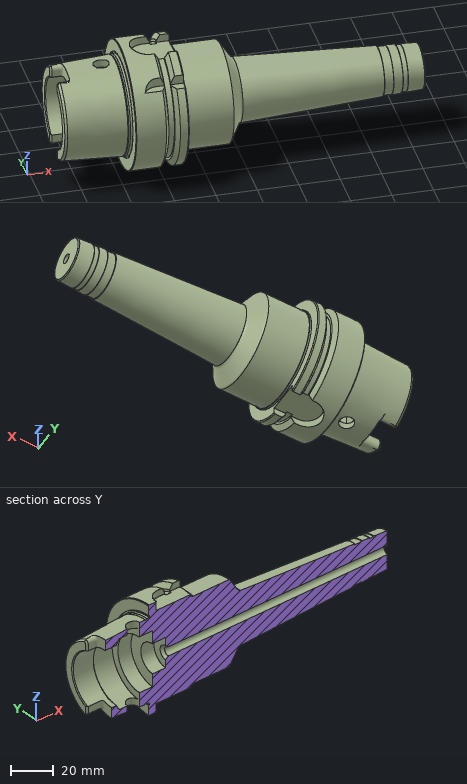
import cadquery as cq
import math


total_length = 177.0
flange_radius = 31.5

flange_start = 32.0
shank_slope = 0.05
shank_mouth_radius = 22.75
mouth_chamfer_length = 1.2
mouth_chamfer_depth = 0.7
relief_start = 30.0
relief_width = 1.2
relief_depth = 0.5
face_recess_radius = 25.3
face_recess_depth = 0.5

flange_end = 57.9
flange_front_chamfer = 0.4
flange_back_chamfer = 0.5
groove_center = 50.1
groove_floor_width = 3.0
groove_mouth_width = 6.7
groove_floor_radius = 27.5
groove_bevel_radius = 28.7

collar_radius = 25.5
collar_end = 58.8
body_radius = 25.0
body_end = 81.6
body_chamfer = 0.5
shoulder_end = 86.4
shoulder_end_radius = 17.0
nose_start = 87.6
nose_angle = 3.0
tip_radius = 11.2
tip_chamfer = 0.5

ring_depth = 0.4
ring_spans = [(157.0, 161.5), (166.0, 168.5)]

mouth_bore_radius = 17.0
mouth_bore_chamfer = 0.5
clamp_start = 12.7
clamp_bevel = 1.8
clamp_end = 26.5
clamp_radius = 20.0
inner_bore_radius = 15.8
inner_bore_end = 34.5
seat_radius = 8.5
seat_end = 42.5
coolant_radius = 2.5
coolant_mouth_radius = 3.98

cross_hole_x = 23.0
cross_hole_diameter = 7.5

drive_half_width = 6.28
drive_rounding = 2.1
drive_floor_fillet = 1.2
drive_lead_in = 0.9
upper_drive_depth = 6.0
lower_drive_depth = 9.7
drive_outer_radius = 23.0

keyway_width = 16.1
keyway_center_x = 45.0
keyway_floor = 26.5
notch_floor = 19.8
notch_wall = 20.0
notch_radius = 7.0
notch_center_x = 44.8


def nose_radius(x):
    return tip_radius + (total_length - x) * math.tan(math.radians(nose_angle))


def shank_radius(x):
    return shank_mouth_radius + shank_slope * x


def revolve_x(outline):
    return outline.close().revolve(360, (0, 0, 0), (1, 0, 0))


def turned_body():
    floor_half = groove_floor_width / 2
    mouth_half = groove_mouth_width / 2
    relief_middle = relief_start + relief_width / 2
    relief_end = relief_start + relief_width
    recess_x = flange_start + face_recess_depth
    outline = (
        cq.Workplane("XY")
        .moveTo(0, 0)
        .lineTo(0, shank_mouth_radius - mouth_chamfer_depth)
        .lineTo(mouth_chamfer_length, shank_radius(mouth_chamfer_length))
        .lineTo(relief_start, shank_radius(relief_start))
        .lineTo(relief_middle, shank_radius(relief_middle) - relief_depth)
        .lineTo(relief_end, shank_radius(relief_end))
        .lineTo(recess_x, shank_radius(recess_x))
        .lineTo(recess_x, face_recess_radius)
        .lineTo(flange_start, face_recess_radius)
        .lineTo(flange_start, flange_radius - flange_front_chamfer)
        .lineTo(flange_start + flange_front_chamfer, flange_radius)
        .lineTo(groove_center - mouth_half, flange_radius)
        .lineTo(groove_center - floor_half, groove_bevel_radius)
        .lineTo(groove_center - floor_half, groove_floor_radius)
        .lineTo(groove_center + floor_half, groove_floor_radius)
        .lineTo(groove_center + floor_half, groove_bevel_radius)
        .lineTo(groove_center + mouth_half, flange_radius)
        .lineTo(flange_end - flange_back_chamfer, flange_radius)
        .lineTo(flange_end, flange_radius - flange_back_chamfer)
        .lineTo(flange_end, collar_radius)
        .lineTo(collar_end, collar_radius)
        .lineTo(collar_end, body_radius)
        .lineTo(body_end - body_chamfer, body_radius)
        .lineTo(body_end, body_radius - body_chamfer)
        .lineTo(shoulder_end, shoulder_end_radius)
        .tangentArcPoint((nose_start, nose_radius(nose_start)), relative=False)
        .lineTo(total_length - tip_chamfer, nose_radius(total_length - tip_chamfer))
        .lineTo(total_length, tip_radius - tip_chamfer)
        .lineTo(total_length, 0)
    )
    return revolve_x(outline)


def ring_groove(start, end):
    floor_radius = nose_radius(end) - ring_depth
    outline = (
        cq.Workplane("XY")
        .moveTo(start, floor_radius)
        .lineTo(start, flange_radius)
        .lineTo(end, flange_radius)
        .lineTo(end, floor_radius)
    )
    return revolve_x(outline)


def bore():
    bevel_end = seat_end + coolant_mouth_radius - coolant_radius
    outline = (
        cq.Workplane("XY")
        .moveTo(0, 0)
        .lineTo(0, mouth_bore_radius + mouth_bore_chamfer)
        .lineTo(mouth_bore_chamfer, mouth_bore_radius)
        .lineTo(clamp_start, mouth_bore_radius)
        .lineTo(clamp_start + clamp_bevel, clamp_radius)
        .lineTo(clamp_end, clamp_radius)
        .lineTo(clamp_end, inner_bore_radius)
        .lineTo(inner_bore_end, inner_bore_radius)
        .lineTo(inner_bore_end, seat_radius)
        .lineTo(seat_end, seat_radius)
        .lineTo(seat_end, coolant_mouth_radius)
        .lineTo(bevel_end, coolant_radius)
        .lineTo(total_length, coolant_radius)
        .lineTo(total_length, 0)
    )
    return revolve_x(outline)


def cross_hole():
    hole = cq.Workplane("XY").center(cross_hole_x, 0).circle(cross_hole_diameter / 2)
    return hole.extrude(flange_radius, both=True)


def drive_outline(widening):
    """Slot section grown sideways by `widening`; ungrown, its rounding ends tangent to the shank."""
    radius = drive_rounding - widening
    center_y = drive_half_width + drive_rounding
    center_z = math.sqrt((drive_outer_radius - drive_rounding) ** 2 - center_y ** 2)
    lean = math.asin(center_y / (drive_outer_radius - drive_rounding))
    wall = drive_half_width + widening

    def on_rounding(angle):
        return center_y + radius * math.sin(angle), center_z + radius * math.cos(angle)

    tangent_y, tangent_z = on_rounding(lean)
    middle_y, middle_z = on_rounding((lean - math.pi / 2) / 2)
    run = 3.5
    out_y = tangent_y + run * math.cos(lean)
    out_z = tangent_z - run * math.sin(lean)
    top = flange_radius
    return (
        cq.Workplane("YZ")
        .moveTo(-wall, 0)
        .lineTo(wall, 0)
        .lineTo(wall, center_z)
        .threePointArc((middle_y, middle_z), (tangent_y, tangent_z))
        .lineTo(out_y, out_z)
        .lineTo(out_y, top)
        .lineTo(-out_y, top)
        .lineTo(-out_y, out_z)
        .lineTo(-tangent_y, tangent_z)
        .threePointArc((-middle_y, middle_z), (-wall, center_z))
        .close()
    )


def drive_slot(depth):
    slot = drive_outline(0).extrude(depth)
    reach = drive_half_width + 2 * drive_rounding
    margin = 0.2
    side_edges = cq.selectors.BoxSelector(
        (depth - margin, -reach, margin),
        (depth + margin, reach, drive_outer_radius),
    )
    slot = slot.edges(side_edges).fillet(drive_floor_fillet)
    lead_in = drive_outline(drive_lead_in).extrude(drive_lead_in, taper=45)
    return slot.union(lead_in)


def keyway():
    length = flange_end - keyway_center_x
    pocket = (
        cq.Workplane("XY", origin=(keyway_center_x, 0, keyway_floor))
        .circle(keyway_width / 2)
        .extrude(flange_radius)
    )
    run_out = cq.Workplane("XY").box(length, keyway_width, flange_radius, centered=(False, True, False))
    return pocket.union(run_out.translate((keyway_center_x, 0, keyway_floor)))


def orientation_notch():
    return (
        cq.Workplane("XY", origin=(0, 0, notch_floor))
        .moveTo(flange_end, -notch_wall)
        .lineTo(notch_center_x, -notch_wall)
        .radiusArc((notch_center_x - notch_radius, -notch_wall - notch_radius), -notch_radius)
        .lineTo(notch_center_x - notch_radius, -flange_radius)
        .lineTo(flange_end, -flange_radius)
        .close()
        .extrude(flange_radius)
    )


result = turned_body().cut(bore()).cut(cross_hole())

for ring_start, ring_end in ring_spans:
    result = result.cut(ring_groove(ring_start, ring_end))

half_turn = ((0, 0, 0), (1, 0, 0), 180)
result = result.cut(drive_slot(upper_drive_depth))
result = result.cut(drive_slot(lower_drive_depth).rotate(*half_turn))
result = result.cut(keyway()).cut(keyway().rotate(*half_turn))
result = result.cut(orientation_notch())